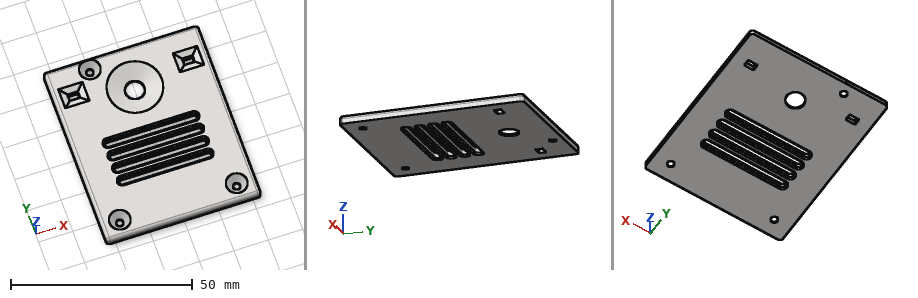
import cadquery as cq

WIDTH = 45.0
LENGTH = 54.0
THICKNESS = 2.5
EDGE_RADIUS = 1.0

SCREW_HOLE_DIAMETER = 2.0
SCREW_HEAD_DIAMETER = 6.0
SCREW_HEAD_DEPTH = 2.0
LOWER_SCREW_X = 17.0
LOWER_SCREW_Y = -22.0
UPPER_SCREW_X = -10.0
UPPER_SCREW_Y = 23.7

FUNNEL_HOLE_DIAMETER = 5.5
FUNNEL_TOP_DIAMETER = 15.6
FUNNEL_DEPTH = 1.9
FUNNEL_Y = 14.65

WINDOW_WIDTH = 3.0
WINDOW_LENGTH = 2.0
WINDOW_SLOPE_WIDTH = 2.0
WINDOW_SLOPE_DEPTH = 0.7
WINDOW_X = 16.7
WINDOW_Y = 17.8

SLOT_COUNT = 4
SLOT_PITCH = 4.0
SLOT_WIDTH = 2.0
SLOT_LENGTH = 27.0
SLOT_CHAMFER = 0.5
FIRST_SLOT_Y = 1.0


def make_plate():
    """Slab with rounded vertical corners and a rounded upper rim."""
    slab = cq.Workplane("XY").box(WIDTH, LENGTH, THICKNESS, centered=(True, True, False))
    return slab.edges("|Z").fillet(EDGE_RADIUS).faces(">Z").edges().fillet(EDGE_RADIUS)


def conical_hole(x, y, hole_diameter, top_diameter, flare_depth):
    """Cutter for a round hole that flares out to the upper face."""
    hole_radius = hole_diameter / 2
    profile = (
        cq.Workplane("XZ")
        .lineTo(hole_radius, 0)
        .lineTo(hole_radius, THICKNESS - flare_depth)
        .lineTo(top_diameter / 2, THICKNESS)
        .lineTo(0, THICKNESS)
        .close()
    )
    return profile.revolve(360, (0, 0, 0), (0, 1, 0)).translate((x, y, 0))


def window(x, y):
    """Cutter for a rectangular opening whose four sides slope outwards to the upper face."""
    opening = cq.Workplane("XY").rect(WINDOW_WIDTH, WINDOW_LENGTH).extrude(THICKNESS)
    flare = (
        cq.Workplane("XY", origin=(0, 0, THICKNESS - WINDOW_SLOPE_DEPTH))
        .rect(WINDOW_WIDTH, WINDOW_LENGTH)
        .workplane(offset=WINDOW_SLOPE_DEPTH)
        .rect(WINDOW_WIDTH + 2 * WINDOW_SLOPE_WIDTH, WINDOW_LENGTH + 2 * WINDOW_SLOPE_WIDTH)
        .loft(ruled=True)
    )
    return opening.union(flare).translate((x, y, 0))


def vent_slot(y):
    """Cutter for a round-ended slot along X, with a 45 degree chamfer at both faces."""
    cutter = cq.Workplane("XY").slot2D(SLOT_LENGTH, SLOT_WIDTH).extrude(THICKNESS)
    for face_z, inward in ((0, 1), (THICKNESS, -1)):
        chamfer = (
            cq.Workplane("XY", origin=(0, 0, face_z))
            .slot2D(SLOT_LENGTH + 2 * SLOT_CHAMFER, SLOT_WIDTH + 2 * SLOT_CHAMFER)
            .extrude(inward * SLOT_CHAMFER, taper=45)
        )
        cutter = cutter.union(chamfer)
    return cutter.translate((0, y, 0))


result = make_plate()

screw_positions = [
    (-LOWER_SCREW_X, LOWER_SCREW_Y),
    (LOWER_SCREW_X, LOWER_SCREW_Y),
    (UPPER_SCREW_X, UPPER_SCREW_Y),
]
for screw_x, screw_y in screw_positions:
    screw_hole = conical_hole(
        screw_x, screw_y, SCREW_HOLE_DIAMETER, SCREW_HEAD_DIAMETER, SCREW_HEAD_DEPTH
    )
    result = result.cut(screw_hole)

funnel = conical_hole(0, FUNNEL_Y, FUNNEL_HOLE_DIAMETER, FUNNEL_TOP_DIAMETER, FUNNEL_DEPTH)
result = result.cut(funnel)

for side in (-1, 1):
    result = result.cut(window(side * WINDOW_X, WINDOW_Y))

for index in range(SLOT_COUNT):
    result = result.cut(vent_slot(FIRST_SLOT_Y - index * SLOT_PITCH))